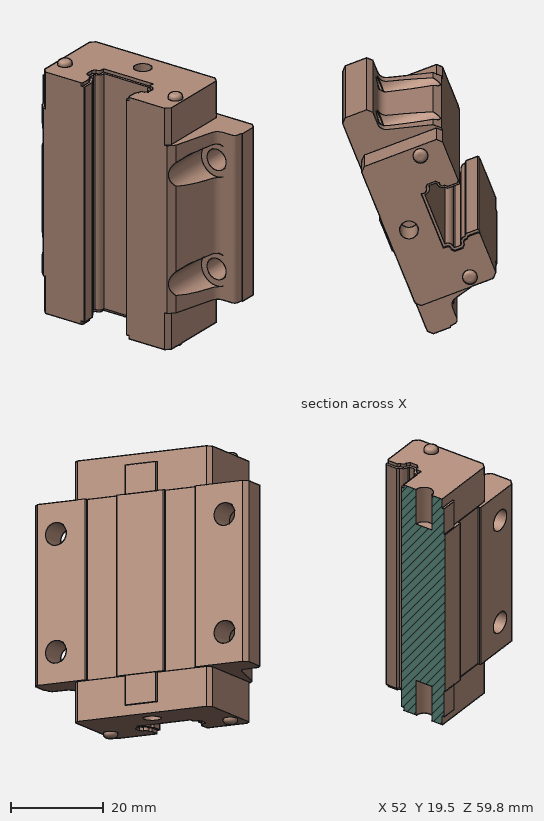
import cadquery as cq
import math


total_length = 59.8
flange_width = 52.0
height = 19.5
top_y = height / 2
bottom_y = -height / 2

body_length = 39.95
flange_thickness = 7.0
flange_chamfer = 1.0
flange_under_y = top_y - flange_thickness
skirt_foot_x = 17.7
skirt_foot_height = 1.45
skirt_base_x = 16.3
skirt_angle = 15.0
skirt_fillet = 2.0

edge_notch_depth = 0.6
edge_notch_ledge = 0.25
edge_notch_top = 5.0
edge_fillet = 0.95

groove_inner_x = 5.85
groove_outer_x = 13.2
groove_depth = 0.65
groove_chamfer = 0.25

hole_spacing_x = 41.1
hole_spacing_z = 26.0
hole_diameter = 5.0
spotface_diameter = 8.0

screw_head_height = 1.15
cap_width = 33.5
cap_setback = 0.8
cap_chamfer = 1.0
caps_length = total_length - 2 * screw_head_height

rib_width = 7.7
rib_length = 53.0
rib_setback = 0.25
rib_chamfer = 0.2

screw_x = 14.6
screw_y = -4.2
screw_head_diameter = 3.15
screw_head_rounding = 0.9
port_y = 4.2
port_diameter = 4.0
port_depth = (caps_length - body_length) / 2

slot_mouth_x = 5.45
slot_neck_x = 5.9
slot_pocket_x = 7.5
slot_roof_y = -1.8
slot_centre_y = -4.2
slot_pocket_height = 1.8
slot_lip_chamfer = 0.5
slot_mouth_chamfer = 0.2
slot_corner = 0.25
seal_recess_offset = 0.6
seal_recess_depth = 0.8
seal_mouth_chamfer = 0.3


def prism(outline, length):
    """Extrude a closed XY outline along Z, centred on Z = 0."""
    return outline.extrude(length / 2, both=True)


def centred_box(width, low_y, high_y, length):
    """Box between two Y levels, centred in X and Z."""
    middle_y = (low_y + high_y) / 2
    return cq.Workplane("XY", origin=(0, middle_y, 0)).box(width, high_y - low_y, length)


def make_body():
    half_width = flange_width / 2
    foot_y = bottom_y + skirt_foot_height
    root_x = skirt_foot_x + (flange_under_y - foot_y) * math.tan(math.radians(skirt_angle))
    notch_x = half_width - edge_notch_depth
    notch_top_y = top_y - edge_notch_top
    ledge_x = half_width - edge_notch_ledge
    outline = (
        cq.Workplane("XY")
        .moveTo(-half_width + flange_chamfer, top_y)
        .lineTo(half_width - flange_chamfer, top_y)
        .lineTo(half_width, top_y - flange_chamfer)
        .lineTo(half_width, notch_top_y)
        .lineTo(ledge_x, notch_top_y)
        .lineTo(notch_x, flange_under_y)
        .lineTo(root_x, flange_under_y)
        .lineTo(skirt_foot_x, foot_y)
        .lineTo(skirt_base_x, bottom_y)
        .lineTo(-skirt_base_x, bottom_y)
        .lineTo(-skirt_foot_x, foot_y)
        .lineTo(-root_x, flange_under_y)
        .lineTo(-half_width + flange_chamfer, flange_under_y)
        .lineTo(-half_width, flange_under_y + flange_chamfer)
        .lineTo(-half_width, top_y - flange_chamfer)
        .close()
    )
    body = prism(outline, body_length)
    for side in (-1, 1):
        root = cq.selectors.NearestToPointSelector((side * root_x, flange_under_y, 0))
        body = body.edges(root).fillet(skirt_fillet)
    lower_edge = cq.selectors.NearestToPointSelector((notch_x, flange_under_y, 0))
    return body.edges(lower_edge).fillet(edge_fillet)


def make_groove(side):
    floor_y = top_y - groove_depth
    bevel_y = top_y - groove_chamfer
    outline = cq.Workplane("XY").polyline([
        (side * groove_inner_x, floor_y),
        (side * groove_inner_x, bevel_y),
        (side * (groove_inner_x - groove_chamfer), top_y),
        (side * (groove_outer_x + groove_chamfer), top_y),
        (side * groove_outer_x, bevel_y),
        (side * groove_outer_x, floor_y),
    ]).close()
    return prism(outline, body_length)


def cut_mounting_holes(body):
    plane = cq.Workplane("XZ", origin=(0, flange_under_y, 0))
    spots = plane.rarray(hole_spacing_x, hole_spacing_z, 2, 2)
    spotfaces = spots.circle(spotface_diameter / 2).extrude(height)
    holes = spots.circle(hole_diameter / 2).extrude(-height)
    return body.cut(spotfaces).cut(holes)


def make_caps():
    caps = centred_box(cap_width, bottom_y, top_y - cap_setback, caps_length)
    caps = caps.edges("|Z").chamfer(cap_chamfer)
    rib = centred_box(rib_width, 0, top_y - rib_setback, rib_length)
    caps = caps.union(rib.edges("|Z and >Y").chamfer(rib_chamfer))
    return caps.cut(cq.Workplane("XY").box(flange_width, 2 * height, body_length))


def slot_outline():
    """Rail slot section, running on below the underside so that it opens there."""
    open_y = bottom_y - height / 4
    pocket_top = slot_centre_y + slot_pocket_height / 2
    pocket_bottom = slot_centre_y - slot_pocket_height / 2
    ball_radius = slot_pocket_x - slot_corner - slot_neck_x
    ball_x = slot_neck_x + ball_radius
    arc_x = ball_x - ball_radius * math.sqrt(0.5)
    arc_drop = ball_radius * (1 - math.sqrt(0.5))
    upper_neck_y = pocket_top + ball_radius
    lower_neck_y = pocket_bottom - ball_radius
    half = (
        cq.Workplane("XY")
        .moveTo(0, open_y)
        .lineTo(slot_mouth_x, open_y)
        .lineTo(slot_mouth_x, lower_neck_y - slot_lip_chamfer)
        .lineTo(slot_neck_x, lower_neck_y)
        .threePointArc((arc_x, pocket_bottom - arc_drop), (ball_x, pocket_bottom))
        .lineTo(slot_pocket_x, pocket_bottom + slot_corner)
        .lineTo(slot_pocket_x, pocket_top - slot_corner)
        .lineTo(ball_x, pocket_top)
        .threePointArc((arc_x, pocket_top + arc_drop), (slot_neck_x, upper_neck_y))
        .lineTo(slot_neck_x, slot_roof_y)
        .lineTo(0, slot_roof_y)
    )
    return half.mirrorY()


def mouth_bevel(mouth_x, chamfer):
    """Section of the bevelled opening where a slot meets the underside."""
    return cq.Workplane("XY").polyline([
        (-mouth_x - chamfer, bottom_y),
        (-mouth_x, bottom_y + chamfer),
        (mouth_x, bottom_y + chamfer),
        (mouth_x + chamfer, bottom_y),
    ]).close()


def make_rail_slot():
    slot = prism(slot_outline(), caps_length)
    return slot.union(prism(mouth_bevel(slot_mouth_x, slot_mouth_chamfer), caps_length))


def make_seal_recess(end):
    """Widened slot at one end, with a bevelled mouth."""
    bevel = mouth_bevel(slot_mouth_x + seal_recess_offset, seal_mouth_chamfer)
    recess = slot_outline().offset2D(seal_recess_offset, "intersection").extrude(seal_recess_depth)
    recess = recess.union(bevel.extrude(seal_recess_depth))
    recess = recess.translate((0, 0, caps_length / 2 - seal_recess_depth))
    return recess if end > 0 else recess.mirror("XY")


def make_screw_heads():
    heads = (
        cq.Workplane("XY", origin=(0, screw_y, caps_length / 2))
        .pushPoints([(-screw_x, 0), (screw_x, 0)])
        .circle(screw_head_diameter / 2)
        .extrude(screw_head_height)
        .edges(">Z")
        .fillet(screw_head_rounding)
    )
    return heads.union(heads.mirror("XY"))


def make_grease_ports():
    port = (
        cq.Workplane("XY", origin=(0, port_y, caps_length / 2))
        .circle(port_diameter / 2)
        .extrude(-port_depth)
    )
    return port.union(port.mirror("XY"))


body = make_body()
for side in (-1, 1):
    body = body.cut(make_groove(side))
body = cut_mounting_holes(body)

result = body.union(make_caps())
result = result.cut(make_rail_slot())
for end in (-1, 1):
    result = result.cut(make_seal_recess(end))
result = result.cut(make_grease_ports()).union(make_screw_heads())